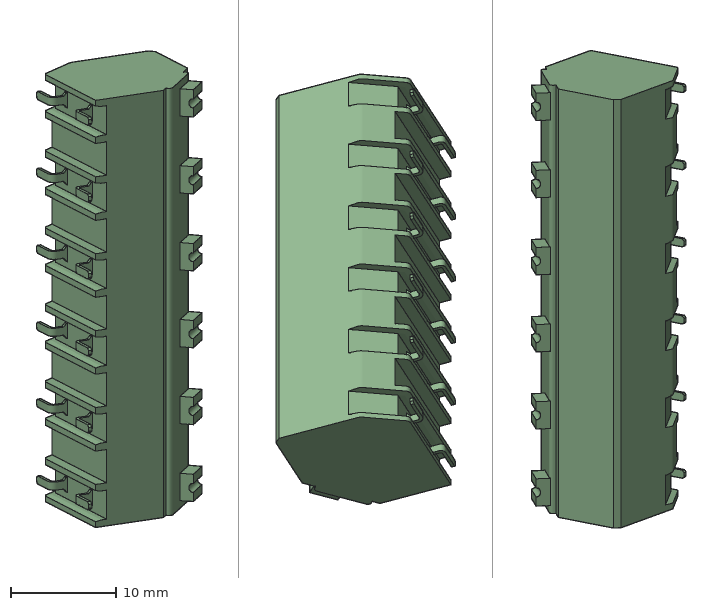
import cadquery as cq
import math

length = 42.3
width = 12.7
depth = 13.0
pin_count = 6
pin_pitch = 7.6
first_pin_z = (length - (pin_count - 1) * pin_pitch) / 2
pin_levels = [first_pin_z + i * pin_pitch for i in range(pin_count)]
slot_levels = [z + pin_pitch / 2 for z in pin_levels[:-1]]

back_chamfer = 0.5
slant_width = 2.35
slant_height = 4.1
slant_side_radius = 1.0
slant_foot_radius = 0.6
bevel_side_y = 7.3
bevel_size = depth - bevel_side_y

bevel_middle = (width - bevel_size / 2, depth - bevel_size / 2, 0)
bevel_plane = cq.Plane(origin=bevel_middle, xDir=(1, -1, 0), normal=(0, 0, 1))

panel_start = -2.62
panel_end = 3.2
panel_rise = 0.6
panel_edge_radius = 0.4

button_start = -2.45
button_length = 2.9
button_height = 1.3
button_width = 2.7
groove_radius = 0.445

pocket_depth = 1.2
pocket_lean_depth = 0.6
pocket_outer_width = 3.1
pocket_inner_width = 2.88
slot_width = 3.3

pin_thickness = 0.35
foot_width = 0.8
leg_base_width = 1.6
leg_taper = (leg_base_width - foot_width) / 2
foot_y = -0.6
tip_chamfer = 0.2
left_leg_x = 4.8
left_foot_length = 2.9
left_bend_radius = 0.65
right_leg_x = 9.48
right_foot_length = 2.9
right_bend_radius = 0.5
pin_root = 0.2


def edge_at(x, y):
    """Selector for the upright edge nearest to the given corner."""
    return cq.selectors.NearestToPointSelector((x, y, length / 2))


def housing():
    body = (
        cq.Workplane("XY")
        .moveTo(slant_width, 0)
        .lineTo(width, 0)
        .lineTo(width, bevel_side_y)
        .lineTo(width - bevel_size, depth)
        .lineTo(back_chamfer, depth)
        .lineTo(0, depth - back_chamfer)
        .lineTo(0, slant_height)
        .close()
        .extrude(length)
    )
    body = body.edges(edge_at(0, slant_height)).fillet(slant_side_radius)
    body = body.edges(edge_at(slant_width, 0)).fillet(slant_foot_radius)
    return body


def panel():
    plate = (
        cq.Workplane(bevel_plane)
        .moveTo(panel_start, -panel_rise)
        .lineTo(panel_end, -panel_rise)
        .lineTo(panel_end, panel_rise)
        .lineTo(panel_start, panel_rise)
        .close()
        .extrude(length)
    )
    for end in (panel_start, panel_end):
        corner = bevel_plane.toWorldCoords((end, panel_rise))
        plate = plate.edges(edge_at(corner.x, corner.y)).fillet(panel_edge_radius)
    return plate


def button(z):
    """Rectangular button with a half-round groove along the middle of its top."""
    top = panel_rise + button_height
    block = (
        cq.Workplane(bevel_plane)
        .workplane(offset=z - button_width / 2)
        .moveTo(button_start, 0)
        .lineTo(button_start + button_length, 0)
        .lineTo(button_start + button_length, top)
        .lineTo(button_start, top)
        .close()
        .extrude(button_width)
    )
    groove_start = bevel_plane.toWorldCoords((button_start, top, z))
    groove_plane = cq.Plane(origin=groove_start, xDir=(0, 0, 1), normal=(1, -1, 0))
    groove = cq.Workplane(groove_plane).circle(groove_radius).extrude(button_length)
    return block.cut(groove)


def channel(start, direction, run, floor_depth):
    """Straight channel below a face: leaning walls near the surface, upright walls further in."""
    inner = pocket_inner_width / 2
    outer = pocket_outer_width / 2
    section = cq.Plane(origin=start, xDir=(0, 0, 1), normal=direction)
    leaning = (
        cq.Workplane(section)
        .moveTo(-outer, 0)
        .lineTo(outer, 0)
        .lineTo(inner, -pocket_lean_depth)
        .lineTo(-inner, -pocket_lean_depth)
        .close()
        .extrude(run)
    )
    upright = (
        cq.Workplane(section)
        .moveTo(-inner, 0)
        .lineTo(inner, 0)
        .lineTo(inner, -floor_depth)
        .lineTo(-inner, -floor_depth)
        .close()
        .extrude(run)
    )
    return leaning.union(upright)


def pocket(z):
    """Channels along the slanted face and the pin side, meeting at the corner between them."""
    slant_length = math.hypot(slant_width, slant_height)
    slant_direction = (slant_width, -slant_height, 0)
    slant_start = (-slant_width, 2 * slant_height, z)
    along_slant = channel(slant_start, slant_direction, 2 * slant_length, pocket_lean_depth)
    along_pin_side = channel((0, 0, z), (1, 0, 0), width, pocket_depth)
    return along_slant.union(along_pin_side)


def slot(z):
    bottom = z - slot_width / 2
    slab = cq.Workplane("XY").box(width, pocket_depth, slot_width, centered=False)
    return slab.translate((0, 0, bottom))


def pin(z, leg_x, direction, foot_length, bend_radius):
    """Contact pin whose foot points along X in the given direction (+1 or -1)."""
    foot_top = foot_y + pin_thickness
    leg_inner_x = leg_x + direction * pin_thickness
    tip_x = leg_x + direction * foot_length
    root_y = pocket_depth + pin_root

    strip = (
        cq.Workplane("XY", origin=(0, 0, z - leg_base_width / 2))
        .moveTo(leg_x, root_y)
        .lineTo(leg_x, foot_y)
        .lineTo(tip_x, foot_y)
        .lineTo(tip_x, foot_top)
        .lineTo(leg_inner_x, foot_top)
        .lineTo(leg_inner_x, root_y)
        .close()
        .extrude(leg_base_width)
    )
    outer_bend = cq.selectors.NearestToPointSelector((leg_x, foot_y, z))
    inner_bend = cq.selectors.NearestToPointSelector((leg_inner_x, foot_top, z))
    strip = strip.edges(outer_bend).fillet(bend_radius)
    strip = strip.edges(inner_bend).fillet(bend_radius - pin_thickness)

    blade_start = min(leg_x, tip_x)
    flare = (
        cq.Workplane("YZ", origin=(blade_start, 0, z))
        .moveTo(foot_y, -foot_width / 2)
        .lineTo(pocket_depth - leg_taper, -foot_width / 2)
        .lineTo(pocket_depth, -leg_base_width / 2)
        .lineTo(root_y, -leg_base_width / 2)
        .lineTo(root_y, leg_base_width / 2)
        .lineTo(pocket_depth, leg_base_width / 2)
        .lineTo(pocket_depth - leg_taper, foot_width / 2)
        .lineTo(foot_y, foot_width / 2)
        .close()
        .extrude(foot_length)
    )
    blade = strip.intersect(flare)
    for side in (-1, 1):
        tip = (tip_x, foot_y + pin_thickness / 2, z + side * foot_width / 2)
        blade = blade.edges(cq.selectors.NearestToPointSelector(tip)).chamfer(tip_chamfer)
    return blade


result = housing().union(panel())

for z in slot_levels:
    result = result.cut(slot(z))

for z in pin_levels:
    result = result.cut(pocket(z))
    result = result.union(button(z))
    result = result.union(pin(z, left_leg_x, -1, left_foot_length, left_bend_radius))
    result = result.union(pin(z, right_leg_x, 1, right_foot_length, right_bend_radius))